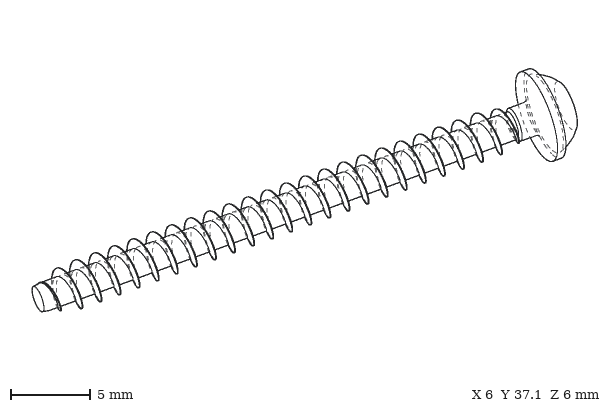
import cadquery as cq
import math

total_length = 37.1
head_height = 2.08
shaft_length = total_length - head_height

flange_radius = 3.0
flange_thickness = 0.6
dome_base_radius = 2.65
dome_top_radius = 1.65
dome_bulge = 0.15

neck_radius = 1.1
fillet_length = 0.52
fillet_width = 0.4
neck_end = 1.55
neck_taper = 0.15
core_radius = 0.93
tip_radius = 0.85
tip_taper = 0.45

thread_radius = 1.52
crest_width = 0.055
flank_angle = 15.0
full_turns = 22.2
full_thread_length = 29.75
pitch = full_thread_length / full_turns
full_start_depth = 3.2
run_in_turns = 1.5
run_in_radius = 1.08
run_out_turns = 1.4
run_out_radius = 0.85
root_radius = 0.75
points_per_turn = 16


def make_body():
    """Revolve head, neck and core about the Y axis; profile points are (Y, radius)."""
    rise = head_height - flange_thickness
    run = dome_base_radius - dome_top_radius
    chord = math.hypot(rise, run)
    dome_middle = (
        flange_thickness + rise / 2 + dome_bulge * run / chord,
        (dome_base_radius + dome_top_radius) / 2 + dome_bulge * rise / chord,
    )
    profile = (
        cq.Workplane("YZ")
        .moveTo(-shaft_length, 0)
        .lineTo(-shaft_length, tip_radius)
        .lineTo(-shaft_length + tip_taper, core_radius)
        .lineTo(-neck_end - neck_taper, core_radius)
        .lineTo(-neck_end, neck_radius)
        .lineTo(-fillet_length, neck_radius)
        .tangentArcPoint((0, neck_radius + fillet_width), relative=False)
        .lineTo(0, flange_radius)
        .lineTo(flange_thickness, flange_radius)
        .lineTo(flange_thickness, dome_base_radius)
        .threePointArc(dome_middle, (head_height, dome_top_radius))
        .lineTo(head_height, 0)
        .close()
    )
    return profile.revolve(360, (0, 0, 0), (1, 0, 0)).val()


def section_corners(crest_radius):
    """Corners (radius, Y offset) of the trapezoid ridge, in order around it."""
    crest_half = crest_width / 2
    root_half = crest_half + (crest_radius - root_radius) * math.tan(math.radians(flank_angle))
    return [
        (root_radius, root_half),
        (crest_radius, crest_half),
        (crest_radius, -crest_half),
        (root_radius, -root_half),
    ]


def thread_point(turn, corner):
    radius, offset = corner
    angle = 2 * math.pi * turn
    depth = full_start_depth + pitch * turn
    return cq.Vector(radius * math.cos(angle), offset - depth, radius * math.sin(angle))


def blend(start, end, fraction):
    return tuple(a + (b - a) * fraction for a, b in zip(start, end))


def helix_edge(start_turn, end_turn, start_corner, end_corner):
    """Helix that passes steadily from one section corner to another."""
    steps = math.ceil((end_turn - start_turn) * points_per_turn)
    points = []
    for step in range(steps + 1):
        fraction = step / steps
        turn = start_turn + (end_turn - start_turn) * fraction
        points.append(thread_point(turn, blend(start_corner, end_corner, fraction)))
    return cq.Edge.makeSpline(points)


def section_cap(turn, corners):
    points = [thread_point(turn, corner) for corner in corners]
    return cq.Face.makeFromWires(cq.Wire.makePolygon(points, close=True))


def make_thread():
    """One ridge: growing run-in, full-height turns, fading run-out."""
    stations = [
        (-run_in_turns, section_corners(run_in_radius)),
        (0, section_corners(thread_radius)),
        (full_turns, section_corners(thread_radius)),
        (full_turns + run_out_turns, section_corners(run_out_radius)),
    ]
    faces = [section_cap(*stations[0]), section_cap(*stations[-1])]
    for (start_turn, start_corners), (end_turn, end_corners) in zip(stations, stations[1:]):
        edges = [
            helix_edge(start_turn, end_turn, start, end)
            for start, end in zip(start_corners, end_corners)
        ]
        for edge, next_edge in zip(edges, edges[1:] + edges[:1]):
            faces.append(cq.Face.makeRuledSurface(edge, next_edge))
    return cq.Solid.makeSolid(cq.Shell.makeShell(faces))


result = cq.Workplane("XY").newObject([make_body().fuse(make_thread())])